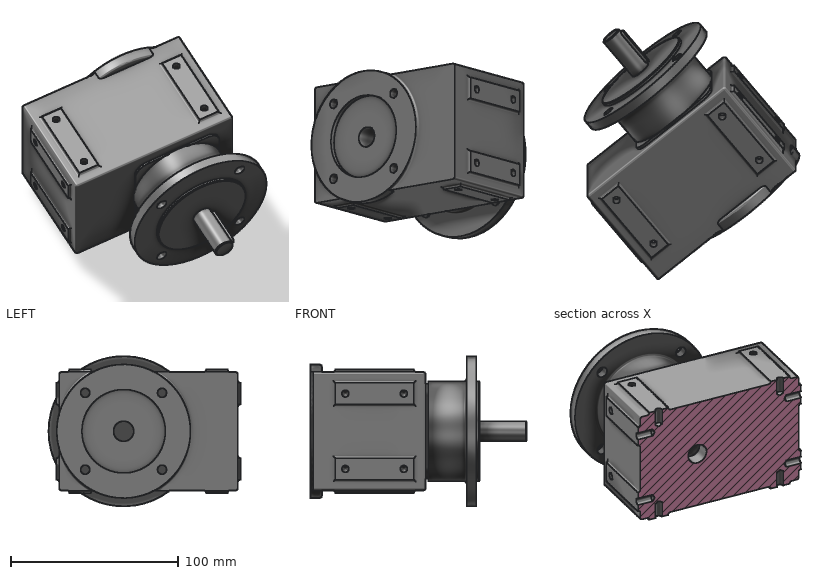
import cadquery as cq
import math


HOUSING_START = 1.7
HOUSING_END = 69.0
HOUSING_WIDTH = 107.1
HOUSING_HEIGHT = 71.0
HOUSING_CENTER_Y = -14.9
EDGE_RADIUS = 1.5

PAD_LENGTH = 47.1
PAD_WIDTH = 13.0
PAD_RISE = 1.5
PAD_FILLET = 1.4
PAD_CENTER_X = 38.5
PAD_OFFSET_Y = 40.9
PAD_OFFSET_Z = 22.5
PAD_HOLE_DIAMETER = 4.1
PAD_HOLE_SPACING = 35.0
PAD_HOLE_DEPTH = 10.0
DRILL_TIP_ANGLE = 118

MOTOR_DISC_DIAMETER = 80.0
MOTOR_DISC_THICKNESS = 7.0
MOTOR_PILOT_DIAMETER = 50.0
MOTOR_PILOT_DEPTH = 3.0
MOTOR_BORE_DIAMETER = 12.0
MOTOR_BORE_DEPTH = 29.8
MOTOR_BOLT_CIRCLE = 65.0
MOTOR_HOLE_DIAMETER = 5.5
MOTOR_HOLE_DEPTH = 10.0

SPACER_SIDE = 57.0
SPACER_CORNER_RADIUS = 8.0
BOSS_START = 70.5
BOSS_DIAMETER = 60.0
FLANGE_START = 93.5
FLANGE_THICKNESS = 6.0
FLANGE_DIAMETER = 90.0
FLANGE_BOLT_CIRCLE = 75.0
FLANGE_HOLE_DIAMETER = 6.5
SPIGOT_LENGTH = 2.0
SPIGOT_CHAMFER = 0.5

SHAFT_DIAMETER = 12.0
SHAFT_END = 129.5
SHAFT_CHAMFER = 0.5
KEY_START = 102.4
KEY_LENGTH = 24.9
KEY_WIDTH = 4.0
KEY_TOP = 7.5

FLANGE_END = FLANGE_START + FLANGE_THICKNESS
SPIGOT_END = FLANGE_END + SPIGOT_LENGTH


def x_cylinder(start, end, diameter):
    """Cylinder on the shaft axis between two X positions."""
    return cq.Workplane("YZ", origin=(start, 0, 0)).circle(diameter / 2).extrude(end - start)


def x_block(start, end, width, height, center_y=0):
    """Block centred on Z = 0 between two X positions."""
    return cq.Workplane("YZ", origin=(start, center_y, 0)).rect(width, height).extrude(end - start)


def bolt_holes(start, depth, bolt_circle, hole_diameter):
    """Four holes along X at 45 degrees to the axes."""
    square_side = bolt_circle / math.sqrt(2)
    return (
        cq.Workplane("YZ", origin=(start, 0, 0))
        .rect(square_side, square_side, forConstruction=True)
        .vertices()
        .circle(hole_diameter / 2)
        .extrude(depth)
    )


def base_fillet(face_x, base_radius, radius):
    """Ring filling the concave corner between a cylinder and the -X side of a face."""
    arc_offset = radius * (1 - math.sqrt(0.5))
    return (
        cq.Workplane("XY")
        .moveTo(face_x - radius, base_radius)
        .threePointArc((face_x - arc_offset, base_radius + arc_offset), (face_x, base_radius + radius))
        .lineTo(face_x, base_radius - radius)
        .lineTo(face_x - radius, base_radius - radius)
        .close()
        .revolve(360, (0, 0, 0), (1, 0, 0))
    )


def pad_planes():
    """Planes on the housing surface, each with its normal pointing out of the housing."""
    planes = []
    for side in (-1, 1):
        for offset in (-1, 1):
            end_face = (PAD_CENTER_X, HOUSING_CENTER_Y + side * HOUSING_WIDTH / 2, offset * PAD_OFFSET_Z)
            planes.append(cq.Plane(origin=end_face, xDir=(1, 0, 0), normal=(0, side, 0)))
            flat_face = (PAD_CENTER_X, HOUSING_CENTER_Y + offset * PAD_OFFSET_Y, side * HOUSING_HEIGHT / 2)
            planes.append(cq.Plane(origin=flat_face, xDir=(1, 0, 0), normal=(0, 0, side)))
    return planes


def pad():
    """Pad on the XY plane, joined by concave fillets to a base plate that sinks into the housing."""
    plate_length = PAD_LENGTH + 2 * PAD_RISE
    plate_width = PAD_WIDTH + 2 * PAD_RISE
    plate = cq.Workplane("XY").rect(plate_length, plate_width).extrude(-PAD_RISE)
    block = cq.Workplane("XY").rect(PAD_LENGTH, PAD_WIDTH).extrude(PAD_RISE)
    reach = PAD_RISE / 2
    foot = cq.selectors.BoxSelector(
        (-PAD_LENGTH / 2 - reach, -PAD_WIDTH / 2 - reach, -reach / 2),
        (PAD_LENGTH / 2 + reach, PAD_WIDTH / 2 + reach, reach / 2),
    )
    return plate.union(block).edges(foot).fillet(PAD_FILLET)


def pad_holes():
    """Pair of blind drilled holes with conical tips, entering from the top of a pad."""
    radius = PAD_HOLE_DIAMETER / 2
    tip_depth = radius / math.tan(math.radians(DRILL_TIP_ANGLE / 2))
    drill = (
        cq.Workplane("XZ")
        .moveTo(0, PAD_RISE)
        .lineTo(radius, PAD_RISE)
        .lineTo(radius, PAD_RISE - PAD_HOLE_DEPTH)
        .lineTo(0, PAD_RISE - PAD_HOLE_DEPTH - tip_depth)
        .close()
        .revolve(360, (0, 0, 0), (0, 1, 0))
    )
    half_spacing = PAD_HOLE_SPACING / 2
    return drill.translate((-half_spacing, 0, 0)).union(drill.translate((half_spacing, 0, 0)))


result = (
    x_block(HOUSING_START, HOUSING_END, HOUSING_WIDTH, HOUSING_HEIGHT, HOUSING_CENTER_Y)
    .edges("|X or >X")
    .fillet(EDGE_RADIUS)
)

single_pad = pad()
for plane in pad_planes():
    result = result.union(cq.Workplane(obj=single_pad.val().moved(plane.location)))

housing_outline = (
    x_block(0, HOUSING_END, HOUSING_WIDTH, HOUSING_HEIGHT, HOUSING_CENTER_Y)
    .edges("|X")
    .fillet(EDGE_RADIUS)
)
disc_fillet = base_fillet(HOUSING_START, MOTOR_DISC_DIAMETER / 2, EDGE_RADIUS).intersect(housing_outline)
motor_disc = x_cylinder(0, MOTOR_DISC_THICKNESS, MOTOR_DISC_DIAMETER).faces(">X").edges().fillet(EDGE_RADIUS)
result = result.union(disc_fillet).union(motor_disc)

spacer = (
    x_block(HOUSING_END, BOSS_START, SPACER_SIDE, SPACER_SIDE)
    .edges("|X")
    .fillet(SPACER_CORNER_RADIUS)
)
boss = x_cylinder(BOSS_START, FLANGE_START, BOSS_DIAMETER)
boss_fillet = base_fillet(FLANGE_START, BOSS_DIAMETER / 2, EDGE_RADIUS)
flange = x_cylinder(FLANGE_START, FLANGE_END, FLANGE_DIAMETER)
spigot = x_cylinder(FLANGE_END, SPIGOT_END, BOSS_DIAMETER).faces(">X").chamfer(SPIGOT_CHAMFER)
result = result.union(spacer).union(boss).union(boss_fillet).union(flange).union(spigot)

shaft = x_cylinder(SPIGOT_END, SHAFT_END, SHAFT_DIAMETER).faces(">X").chamfer(SHAFT_CHAMFER)
key = (
    cq.Workplane("XZ", origin=(KEY_START + KEY_LENGTH / 2, 0, 0))
    .slot2D(KEY_LENGTH, KEY_WIDTH)
    .extrude(-KEY_TOP)
)
result = result.union(shaft).union(key)

holes_in_pad = pad_holes()
for plane in pad_planes():
    result = result.cut(cq.Workplane(obj=holes_in_pad.val().moved(plane.location)))

result = (
    result.cut(x_cylinder(0, MOTOR_PILOT_DEPTH, MOTOR_PILOT_DIAMETER))
    .cut(x_cylinder(0, MOTOR_BORE_DEPTH, MOTOR_BORE_DIAMETER))
    .cut(bolt_holes(0, MOTOR_HOLE_DEPTH, MOTOR_BOLT_CIRCLE, MOTOR_HOLE_DIAMETER))
)

result = result.cut(
    bolt_holes(FLANGE_START, FLANGE_THICKNESS, FLANGE_BOLT_CIRCLE, FLANGE_HOLE_DIAMETER)
)